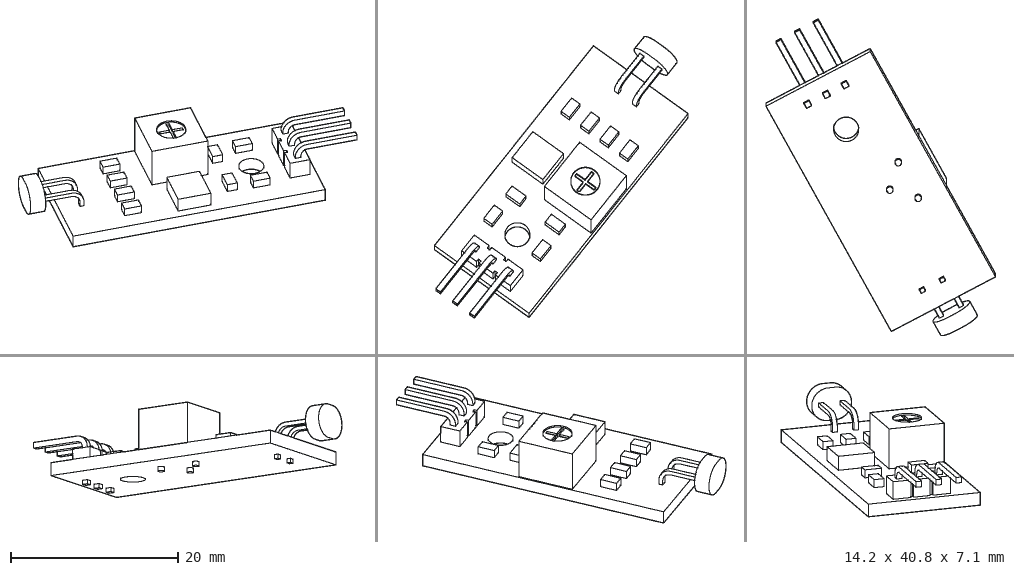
import cadquery as cq

BOARD_WIDTH = 14.2
BOARD_LENGTH = 31.6
BOARD_THICKNESS = 1.6
TOP = BOARD_THICKNESS
SOLDER_LENGTH = 0.5
MOUNT_HOLE_DIAMETER = 3.0
MOUNT_HOLE_Y = 8.72

PIN_COUNT = 3
PIN_PITCH = 2.54
PIN_SIZE = 0.7
PIN_Y = 13.7
PIN_OVERHANG = 5.3
PIN_TOP_HEIGHT = 3.95
PIN_BEND_RADIUS = 1.5
HEADER_WIDTH = 7.3
HEADER_DEPTH = 2.5
HEADER_HEIGHT = 2.2
HEADER_NOTCH = 0.37
HEADER_NOTCH_PITCH = 2.46

TRIMMER_SIZE = 7.0
TRIMMER_HEIGHT = 5.0
TRIMMER_X = -3.43
TRIMMER_Y = -0.25
SCREW_DIAMETER = 3.5
SCREW_RECESS = 0.2
CROSS_LENGTH = 2.9
CROSS_WIDTH = 0.37
CROSS_DEPTH = 0.3
TRIMMER_PIN_DIAMETER = 0.8
TRIMMER_PIN_PITCH = 2.5
TRIMMER_PIN_X = -3.6

CHIP_WIDTH = 4.6
CHIP_LENGTH = 4.1
CHIP_HEIGHT = 1.75
CHIP_X = 3.7
CHIP_Y = -0.25

SMD_LENGTH = 2.1
SMD_WIDTH = 1.25
SMD_HEIGHT = 1.0
UPPER_SMD_X = 3.62
MIDDLE_SMD_X = 2.95
MIDDLE_SMD_Y = 5.1
LOWER_SMD_COUNT = 4
LOWER_SMD_PITCH = 2.92
LOWER_SMD_Y = -7.64

SENSOR_WIDTH = 5.05
SENSOR_HEIGHT = 4.1
SENSOR_THICKNESS = 1.9
SENSOR_OVERHANG = 3.9
SENSOR_AXIS_HEIGHT = 1.92
LEAD_COUNT = 2
LEAD_PITCH = 2.7
LEAD_WIDTH = 0.6
LEAD_THICKNESS = 0.5
LEAD_Y = -13.0
LEAD_TOP_HEIGHT = 2.2
LEAD_BEND_RADIUS = 1.6


def centred_positions(count, pitch):
    """Evenly spaced coordinates centred on zero."""
    return [(i - (count - 1) / 2) * pitch for i in range(count)]


def block(width, length, height, x, y, base=TOP):
    """Rectangular block standing on the height `base`."""
    return cq.Workplane("XY", origin=(x, y, base)).rect(width, length).extrude(height)


def bent_wire(x, y, width, thickness, end_y, top_height, outer_radius):
    """Rectangular wire rising through the board and bending to run along Y to end_y."""
    direction = 1 if end_y > y else -1
    middle_radius = outer_radius - thickness / 2
    run_z = TOP + top_height - thickness / 2
    path = (
        cq.Workplane("YZ", origin=(x, 0, 0))
        .moveTo(y, -SOLDER_LENGTH)
        .lineTo(y, run_z - middle_radius)
        .tangentArcPoint((y + direction * middle_radius, run_z), relative=False)
        .lineTo(end_y, run_z)
    )
    section = cq.Workplane("XY", origin=(x, y, -SOLDER_LENGTH)).rect(width, thickness)
    return section.sweep(path)


def make_board():
    board = block(BOARD_WIDTH, BOARD_LENGTH, BOARD_THICKNESS, 0, 0, base=0)
    hole = (
        cq.Workplane("XY")
        .center(0, MOUNT_HOLE_Y)
        .circle(MOUNT_HOLE_DIAMETER / 2)
        .extrude(BOARD_THICKNESS)
    )
    return board.cut(hole)


def make_header():
    header = block(HEADER_WIDTH, HEADER_DEPTH, HEADER_HEIGHT, 0, PIN_Y)
    notch_offset = (HEADER_DEPTH - HEADER_NOTCH) / 2
    for x in centred_positions(PIN_COUNT - 1, HEADER_NOTCH_PITCH):
        for y in (PIN_Y - notch_offset, PIN_Y + notch_offset):
            header = header.cut(block(HEADER_NOTCH, HEADER_NOTCH, HEADER_HEIGHT, x, y))
    tip_y = BOARD_LENGTH / 2 + PIN_OVERHANG
    for x in centred_positions(PIN_COUNT, PIN_PITCH):
        header = header.union(bent_wire(x, PIN_Y, PIN_SIZE, PIN_SIZE, tip_y, PIN_TOP_HEIGHT, PIN_BEND_RADIUS))
    return header


def make_trimmer_pins():
    """Round pins in a triangle: the middle one is one pitch towards +X."""
    points = [
        (TRIMMER_PIN_X, TRIMMER_Y - TRIMMER_PIN_PITCH),
        (TRIMMER_PIN_X + TRIMMER_PIN_PITCH, TRIMMER_Y),
        (TRIMMER_PIN_X, TRIMMER_Y + TRIMMER_PIN_PITCH),
    ]
    return (
        cq.Workplane("XY", origin=(0, 0, -SOLDER_LENGTH))
        .pushPoints(points)
        .circle(TRIMMER_PIN_DIAMETER / 2)
        .extrude(SOLDER_LENGTH + BOARD_THICKNESS)
    )


def make_trimmer_body():
    """Trimmer housing with a round screw recess and a deeper driver cross."""
    body = block(TRIMMER_SIZE, TRIMMER_SIZE, TRIMMER_HEIGHT, TRIMMER_X, TRIMMER_Y)
    screw_face = TOP + TRIMMER_HEIGHT - SCREW_RECESS
    recess = (
        cq.Workplane("XY", origin=(TRIMMER_X, TRIMMER_Y, screw_face))
        .circle(SCREW_DIAMETER / 2)
        .extrude(SCREW_RECESS)
    )
    body = body.cut(recess)
    cross_floor = screw_face - CROSS_DEPTH
    for width, length in ((CROSS_LENGTH, CROSS_WIDTH), (CROSS_WIDTH, CROSS_LENGTH)):
        body = body.cut(block(width, length, CROSS_DEPTH, TRIMMER_X, TRIMMER_Y, cross_floor))
    return body


def make_surface_components():
    parts = block(CHIP_WIDTH, CHIP_LENGTH, CHIP_HEIGHT, CHIP_X, CHIP_Y)
    for side in (-1, 1):
        parts = parts.union(
            block(SMD_WIDTH, SMD_LENGTH, SMD_HEIGHT, side * UPPER_SMD_X, MOUNT_HOLE_Y)
        )
        parts = parts.union(
            block(SMD_LENGTH, SMD_WIDTH, SMD_HEIGHT, side * MIDDLE_SMD_X, MIDDLE_SMD_Y)
        )
    for x in centred_positions(LOWER_SMD_COUNT, LOWER_SMD_PITCH):
        parts = parts.union(block(SMD_WIDTH, SMD_LENGTH, SMD_HEIGHT, x, LOWER_SMD_Y))
    return parts


def make_light_sensor():
    face_y = -BOARD_LENGTH / 2 - SENSOR_OVERHANG
    back_y = face_y + SENSOR_THICKNESS
    sensor = (
        cq.Workplane("XZ", origin=(0, back_y, TOP + SENSOR_AXIS_HEIGHT))
        .slot2D(SENSOR_WIDTH, SENSOR_HEIGHT)
        .extrude(SENSOR_THICKNESS)
    )
    for x in centred_positions(LEAD_COUNT, LEAD_PITCH):
        sensor = sensor.union(
            bent_wire(x, LEAD_Y, LEAD_WIDTH, LEAD_THICKNESS, back_y, LEAD_TOP_HEIGHT, LEAD_BEND_RADIUS)
        )
    return sensor


result = make_board()
for component in (
    make_header(),
    make_trimmer_pins(),
    make_trimmer_body(),
    make_surface_components(),
    make_light_sensor(),
):
    result = result.union(component)